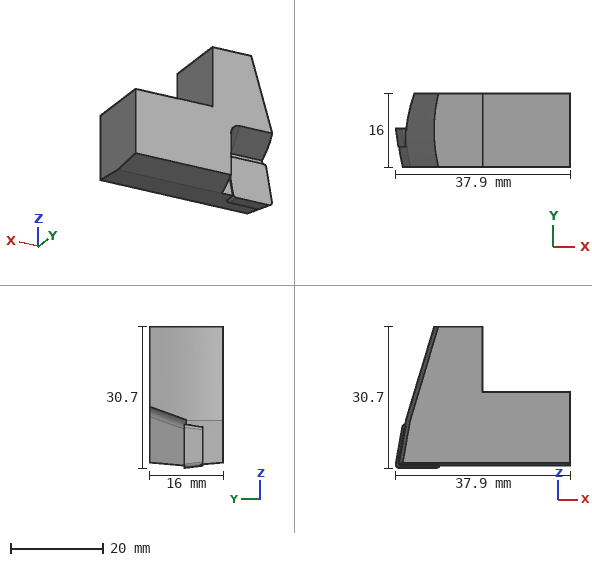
import cadquery as cq
import math

LENGTH = 37.9
WIDTH = 16.0
HEIGHT = 30.73
MID_Y = WIDTH / 2
STEP_X = 18.87
STEP_Z = 16.55

NOSE_TOP_X = 9.3
NOSE_BREAK_X = 3.2
NOSE_BREAK_Z = 10.42
LOWER_LEAN = 10.0
NOSE_BULGE = 0.95
NOSE_BASE_X = NOSE_BREAK_X - NOSE_BREAK_Z * math.tan(math.radians(LOWER_LEAN))

SIDE_EDGE_Z = 1.17
UNDERSIDE_ANGLE = 5.0
RIDGE_Z = SIDE_EDGE_Z - MID_Y * math.tan(math.radians(UNDERSIDE_ANGLE))

INSERT_HEIGHT = 9.5
INSERT_THICKNESS = 3.98
INSERT_RAKE_Y = 8.4
INSERT_ANGLE = 80.0
INSERT_CLEARANCE = 7.0
INSERT_RADIUS = 0.8
INSERT_SIDE = INSERT_HEIGHT / math.sin(math.radians(INSERT_ANGLE))
INSERT_LEAN_X = INSERT_SIDE * math.cos(math.radians(INSERT_ANGLE))
INSERT_CORNER_X = INSERT_RADIUS * (1 - 1 / math.tan(math.radians(INSERT_ANGLE / 2)))

POCKET_ROOF_Z = 10.45
POCKET_ROOF_ANGLE = 19.8
POCKET_DEPTH_X = 12.12
POCKET_WALL_ANGLE = 15.0
POCKET_FILLET = 2.2


def nose_plan(edge_x, z):
    """Plan outline at height z, with its left end bulging about the middle."""
    return (
        cq.Workplane("XY", origin=(0, 0, z))
        .moveTo(LENGTH, 0)
        .lineTo(edge_x, 0)
        .threePointArc((edge_x - NOSE_BULGE, MID_Y), (edge_x, WIDTH))
        .lineTo(LENGTH, WIDTH)
        .close()
        .wires()
        .val()
    )


def nose_section(low_x, low_z, high_x, high_z):
    """Slanted prism between two equal-bulge plan outlines."""
    plans = [nose_plan(low_x, low_z), nose_plan(high_x, high_z)]
    return cq.Workplane(cq.Solid.makeLoft(plans, True))


def make_blank():
    lower = nose_section(NOSE_BASE_X, 0, NOSE_BREAK_X, NOSE_BREAK_Z)
    upper = nose_section(NOSE_BREAK_X, NOSE_BREAK_Z, NOSE_TOP_X, HEIGHT)
    step = cq.Workplane("XY").box(
        LENGTH - STEP_X, WIDTH, HEIGHT - STEP_Z, centered=False
    ).translate((STEP_X, 0, STEP_Z))
    underside = (
        cq.Workplane("YZ")
        .polyline([(0, 0), (0, SIDE_EDGE_Z), (MID_Y, RIDGE_Z), (WIDTH, SIDE_EDGE_Z), (WIDTH, 0)])
        .close()
        .extrude(LENGTH)
    )
    return lower.union(upper).cut(step).cut(underside)


def make_chip_pocket():
    """Cutter with a sloping roof, a slanted end wall and a fillet between them."""
    roof_slope = math.tan(math.radians(POCKET_ROOF_ANGLE))
    wall_slope = math.tan(math.radians(POCKET_WALL_ANGLE))
    plan = [
        (-LENGTH, 0),
        (POCKET_DEPTH_X - MID_Y * wall_slope, 0),
        (POCKET_DEPTH_X + MID_Y * wall_slope, WIDTH),
        (-LENGTH, WIDTH),
    ]
    prism = cq.Workplane("XY").polyline(plan).close().extrude(HEIGHT)
    roof = [
        (0, 0),
        (0, POCKET_ROOF_Z - MID_Y * roof_slope),
        (WIDTH, POCKET_ROOF_Z + MID_Y * roof_slope),
        (WIDTH, 0),
    ]
    under_roof = cq.Workplane("YZ", origin=(-LENGTH, 0, 0)).polyline(roof).close().extrude(2 * LENGTH)
    inner_corner = cq.selectors.NearestToPointSelector((POCKET_DEPTH_X, MID_Y, POCKET_ROOF_Z))
    cutter = prism.intersect(under_roof).edges(inner_corner).fillet(POCKET_FILLET)
    back_half = cq.Workplane("XY", origin=(-LENGTH, MID_Y, 0)).box(
        2 * LENGTH, MID_Y, HEIGHT, centered=False
    )
    return cutter.intersect(back_half)


def make_insert():
    """Rounded rhombus, narrowing from its rake face toward its seat."""
    outline = [
        (INSERT_CORNER_X, 0),
        (INSERT_CORNER_X + INSERT_SIDE, 0),
        (INSERT_CORNER_X + INSERT_SIDE + INSERT_LEAN_X, INSERT_HEIGHT),
        (INSERT_CORNER_X + INSERT_LEAN_X, INSERT_HEIGHT),
    ]
    return (
        cq.Workplane("XZ", origin=(0, INSERT_RAKE_Y, 0))
        .polyline(outline)
        .close()
        .extrude(INSERT_THICKNESS, taper=INSERT_CLEARANCE)
        .edges("not(#Y)")
        .fillet(INSERT_RADIUS)
    )


insert = make_insert()
body = make_blank().cut(make_chip_pocket()).cut(insert)

result = cq.Compound.makeCompound([body.solids().val(), insert.val()])